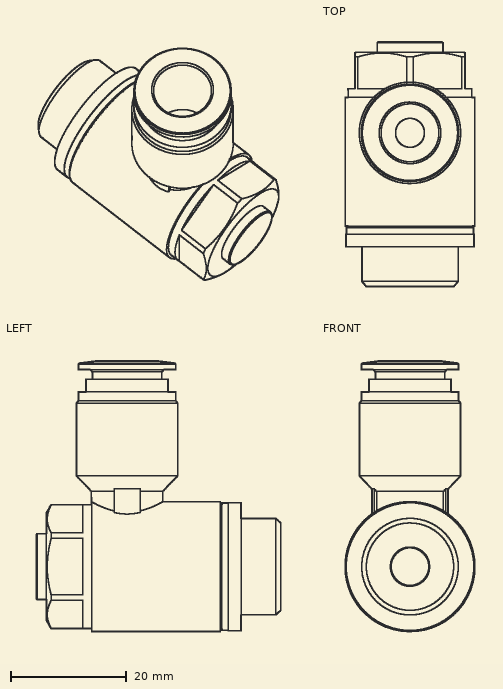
import cadquery as cq
import math


body_dia = 22.4
washer_dia = 22.0
flange_dia = 22.15
groove_dia = 21.5
collar_dia = 21.4
stub_dia = 16.65
boss_dia = 11.4

stub_front = -26.53
flange_front = -19.65
washer_front = -17.45
groove_front = -16.35
body_front = -16.1
body_back = 6.1
hex_front = 7.6
hex_back = 13.9
boss_back = 15.7

stub_chamfer_width = 0.8
stub_chamfer_length = 0.9
boss_chamfer = 0.2

hex_across_flats = 19.05
hex_chamfer_angle = 30
hex_chamfer_width = 1.4
hex_chamfer_length = hex_chamfer_width * math.tan(math.radians(hex_chamfer_angle))

socket_dia = 17.5
cap_dia = 16.8
release_sleeve_dia = 14.2
release_neck_dia = 12.0
neck_dia = 12.38
cap_root_dia = 12.8

neck_top = 13.0
socket_bottom = 15.65
shoulder_bottom = 28.2
shoulder_chamfer_top = 28.65
shoulder_top = 30.15
sleeve_top = 32.35
release_neck_top = 33.6
cap_bottom = 34.0
cap_rim = 34.95
cap_bevel = 0.2
socket_top = 35.5

rib_span = 13.15
rib_width = 4.5

tube_bore_dia = 10.0
tube_bore_bottom = 18.7
tube_bore_chamfer = 0.35
stem_bore_dia = 5.0
screw_bore_dia = 6.5
screw_bore_chamfer = 0.15
screw_bore_end = screw_bore_dia / 2


def along_y(dia, start, end):
    """Cylinder on the Y axis between two Y positions."""
    return cq.Workplane("XZ", origin=(0, start, 0)).circle(dia / 2).extrude(start - end)


def make_banjo_body():
    stub = along_y(stub_dia, stub_front, flange_front)
    stub = stub.faces("<Y").chamfer(stub_chamfer_length, stub_chamfer_width)
    boss = along_y(boss_dia, hex_back, boss_back).faces(">Y").chamfer(boss_chamfer)
    return (
        along_y(body_dia, body_front, body_back)
        .union(stub)
        .union(along_y(flange_dia, flange_front, washer_front))
        .union(along_y(washer_dia, washer_front, groove_front))
        .union(along_y(groove_dia, groove_front, body_front))
        .union(along_y(collar_dia, body_back, hex_front))
        .union(boss)
    )


def make_hex_head():
    length = hex_back - hex_front
    corner_dia = 2 * hex_across_flats / math.sqrt(3)
    prism = (
        cq.Workplane("XZ", origin=(0, hex_front, 0))
        .transformed(rotate=(0, 0, 90))
        .polygon(6, corner_dia)
        .extrude(-length)
    )
    envelope = along_y(collar_dia, hex_front, hex_back)
    envelope = envelope.faces(">Y").chamfer(hex_chamfer_length, hex_chamfer_width)
    return prism.intersect(envelope)


def make_tube_socket():
    mouth_radius = tube_bore_dia / 2 + tube_bore_chamfer
    return (
        cq.Workplane("XZ")
        .lineTo(neck_dia / 2, 0)
        .lineTo(neck_dia / 2, neck_top)
        .lineTo(socket_dia / 2, socket_bottom)
        .lineTo(socket_dia / 2, shoulder_bottom)
        .lineTo(cap_dia / 2, shoulder_chamfer_top)
        .lineTo(cap_dia / 2, shoulder_top)
        .lineTo(release_sleeve_dia / 2, shoulder_top)
        .lineTo(release_sleeve_dia / 2, sleeve_top)
        .lineTo(release_neck_dia / 2, sleeve_top)
        .lineTo(release_neck_dia / 2, release_neck_top)
        .lineTo(cap_root_dia / 2, cap_bottom)
        .lineTo(cap_dia / 2, cap_bottom)
        .lineTo(cap_dia / 2, cap_rim)
        .lineTo(cap_dia / 2 - cap_bevel, cap_rim + cap_bevel)
        .lineTo(mouth_radius, socket_top)
        .lineTo(0, socket_top)
        .close()
        .revolve(360, (0, 0, 0), (0, 1, 0))
    )


def make_neck_ribs():
    cylinder = cq.Workplane("XY").circle(rib_span / 2).extrude(socket_bottom)
    slab = cq.Workplane("XY").rect(rib_span, rib_width).extrude(socket_bottom)
    return cylinder.intersect(slab)


def make_tube_bore():
    bore_radius = tube_bore_dia / 2
    return (
        cq.Workplane("XZ")
        .lineTo(stem_bore_dia / 2, 0)
        .lineTo(stem_bore_dia / 2, tube_bore_bottom)
        .lineTo(bore_radius, tube_bore_bottom)
        .lineTo(bore_radius, socket_top - tube_bore_chamfer)
        .lineTo(bore_radius + tube_bore_chamfer, socket_top)
        .lineTo(0, socket_top)
        .close()
        .revolve(360, (0, 0, 0), (0, 1, 0))
    )


def make_screw_bore():
    bore_radius = screw_bore_dia / 2
    return (
        cq.Workplane("XY", origin=(0, stub_front, 0))
        .lineTo(bore_radius + screw_bore_chamfer, 0)
        .lineTo(bore_radius, screw_bore_chamfer)
        .lineTo(bore_radius, screw_bore_end - stub_front)
        .lineTo(0, screw_bore_end - stub_front)
        .close()
        .revolve(360, (0, 0, 0), (0, 1, 0))
    )


result = (
    make_banjo_body()
    .union(make_hex_head())
    .union(make_tube_socket())
    .union(make_neck_ribs())
    .cut(make_tube_bore())
    .cut(make_screw_bore())
)